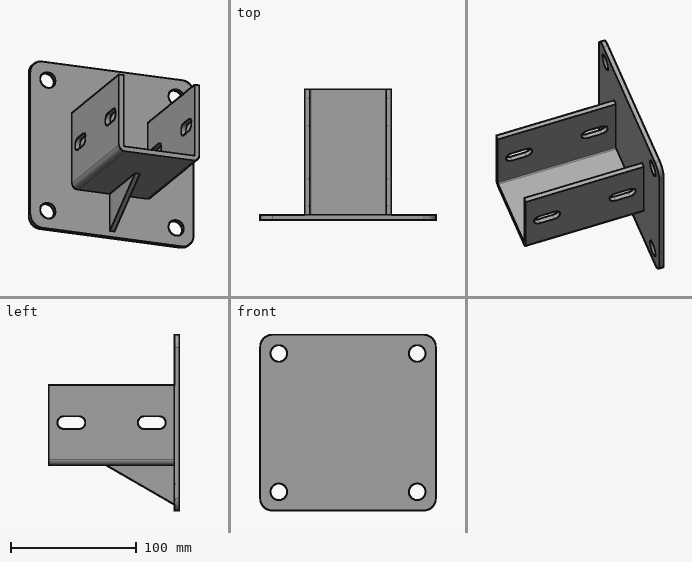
import cadquery as cq

plate_size = 140.0
sheet = 4.0
plate_corner_radius = 10.0
bolt_spacing = 110.0
bolt_hole_diameter = 13.0

channel_length = 100.0
channel_width = 69.0
channel_top = 30.0
channel_bottom = -34.0
inner_bend_radius = 1.0
outer_bend_radius = inner_bend_radius + sheet

slot_length = 22.0
slot_height = 10.0
slot_end_offset = 18.0
slot_spacing = 64.0

rib_length = 54.0
rib_height = 31.2

channel_end = sheet + channel_length


def make_plate():
    blank = cq.Workplane("XZ").rect(plate_size, plate_size).extrude(-sheet)
    rounded = blank.edges("|Y").fillet(plate_corner_radius)
    holes = (
        cq.Workplane("XZ")
        .rect(bolt_spacing, bolt_spacing, forConstruction=True)
        .vertices()
        .circle(bolt_hole_diameter / 2)
        .extrude(-sheet)
    )
    return rounded.cut(holes)


def channel_block(width, bottom, bend_radius):
    """Solid bar along Y with its two lower long edges rounded."""
    height = channel_top - bottom
    bar = cq.Workplane("XY").box(width, channel_length, height, centered=(True, False, False))
    return bar.edges("|Y and <Z").fillet(bend_radius).translate((0, sheet, bottom))


def make_channel():
    outside = channel_block(channel_width, channel_bottom, outer_bend_radius)
    inside = channel_block(channel_width - 2 * sheet, channel_bottom + sheet, inner_bend_radius)
    rear_slot = channel_end - slot_end_offset
    slots = (
        cq.Workplane("YZ")
        .pushPoints([(rear_slot, 0), (rear_slot - slot_spacing, 0)])
        .slot2D(slot_length, slot_height)
        .extrude(channel_width / 2, both=True)
    )
    return outside.cut(inside).cut(slots)


def make_rib():
    floor_middle = channel_bottom + sheet / 2
    outline = [
        (sheet, floor_middle),
        (sheet + rib_length, floor_middle),
        (sheet + rib_length, channel_bottom),
        (sheet, channel_bottom - rib_height),
    ]
    return cq.Workplane("YZ").polyline(outline).close().extrude(sheet / 2, both=True)


result = make_plate().union(make_channel()).union(make_rib())